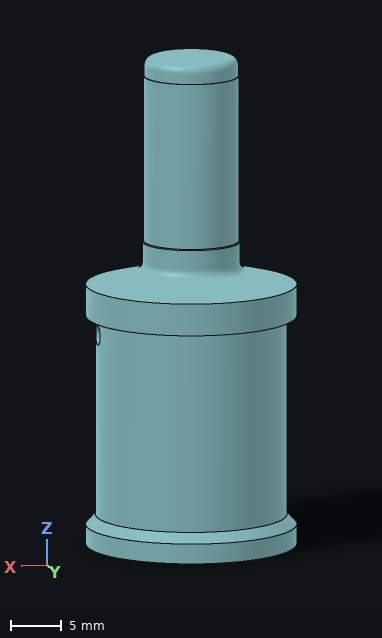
import cadquery as cq
import math

total_height = 49.2
flange_radius = 20.95 / 2
body_radius = 19.0 / 2

base_rim_top = 2.0
base_bevel = flange_radius - body_radius
collar_bottom = 23.05
collar_top = 26.2

neck_radius = 9.7 / 2
neck_fillet = 1.05
shoulder_angle = math.radians(15)
fillet_center_radius = neck_radius + neck_fillet
shoulder_radius = fillet_center_radius - neck_fillet * math.sin(shoulder_angle)
shoulder_top = collar_top + (flange_radius - shoulder_radius) * math.tan(shoulder_angle)
neck_fillet_top = shoulder_top + neck_fillet * math.cos(shoulder_angle)
arc_mid_angle = (math.pi / 2 - shoulder_angle) / 2
neck_arc_mid = (
    fillet_center_radius - neck_fillet * math.cos(arc_mid_angle),
    neck_fillet_top - neck_fillet * math.sin(arc_mid_angle),
)

pin_radius = 9.5 / 2
pin_bottom = 30.6
neck_bevel = neck_radius - pin_radius
pin_top = 47.25
tip_radius = 9.4 / 2
tip_round = 0.95

side_hole_diameter = 2.0
side_hole_height = 21.45
side_hole_depth = 2.0


def turned_body():
    profile = (
        cq.Workplane("XZ")
        .lineTo(flange_radius, 0)
        .lineTo(flange_radius, base_rim_top)
        .lineTo(body_radius, base_rim_top + base_bevel)
        .lineTo(body_radius, collar_bottom)
        .lineTo(flange_radius, collar_bottom)
        .lineTo(flange_radius, collar_top)
        .lineTo(shoulder_radius, shoulder_top)
        .threePointArc(neck_arc_mid, (neck_radius, neck_fillet_top))
        .lineTo(neck_radius, pin_bottom - neck_bevel)
        .lineTo(pin_radius, pin_bottom)
        .lineTo(pin_radius, pin_top)
        .lineTo(tip_radius, pin_top)
        .lineTo(tip_radius, total_height)
        .lineTo(0, total_height)
        .close()
    )
    return profile.revolve(360, (0, 0, 0), (0, 1, 0)).faces(">Z").edges().fillet(tip_round)


def side_hole():
    return (
        cq.Workplane("YZ", origin=(body_radius - side_hole_depth, 0, side_hole_height))
        .circle(side_hole_diameter / 2)
        .extrude(2 * side_hole_depth)
    )


result = turned_body().cut(side_hole())